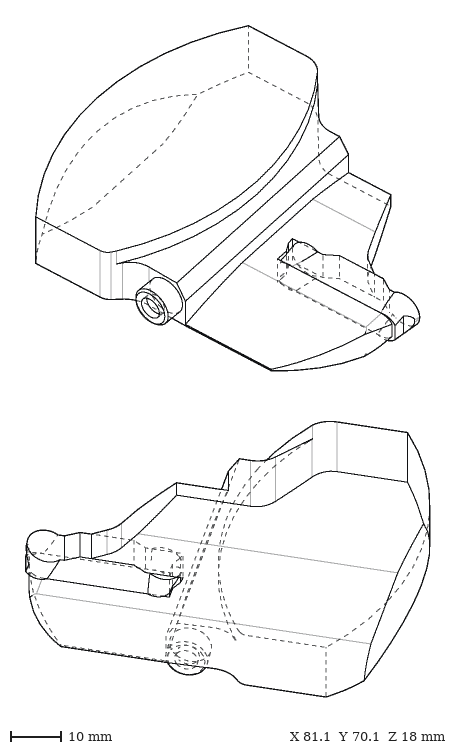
import cadquery as cq
import math

overall_length = 81.1
overall_height = 18.0
tip_diameter = 8.1
tip_radius = tip_diameter / 2
insert_axis_z = -0.2
top_z = overall_height - tip_radius + insert_axis_z
tall = 48.7

blade_half_thickness = 3.2
lens_flat_half_width = 11.6
lens_radius = 134.6
lens_center_z = math.sqrt(lens_radius**2 - lens_flat_half_width**2) - blade_half_thickness

shank_half_width = 35.0
shank_arc_radius = 60.0
oval_width = 40.15
step_z = 10.2
shoulder_end_x = 45.3
shoulder_back_y = 23.4
shoulder_front_y = -29.8
blade_front_y = -30.3
shoulder_chamfer_length = 2.3
shoulder_chamfer_depth = 3.65
neck_radius = 11.8 / 2
front_corner_radius = 2.4
neck_start_back_x = 28.6
neck_start_front_x = 28.7
back_neck_slope = 1.25
front_neck_slope = 1.3
bottom_bevel = 7.7

blade_back_corner_x = 55.95
blade_back_slope_end = (63.25, 6.5)
blade_hollow_middle = (64.2, 4.95)
blade_hollow_end = (65.5, 3.8)
hollow_foot_offset = 3.25
blade_nose_x = 79.1
blade_nose_middle = (74.4, -20.3)
blade_front_corner_x = 66.9
nose_round_start_x = 76.4

insert_length = 32.0
insert_center_x = overall_length - insert_length / 2
insert_crown_y = 1.8
insert_seat_y = -6.5
insert_crown_half_length = 5.5
insert_crown_foot = 8.35
insert_lip_y = -1.5
insert_lip_setback = 0.2
insert_relief_y = -3.65
insert_base_half_length = 14.8
tip_base_radius = 3.4

screw_x = 40.1
screw_z = 5.1
screw_diameter = 8.5
screw_tilt = 3.0
screw_end_y = -34.95
screw_embed_y = -27.6
screw_edge_chamfer = 0.5
socket_diameter = 4.7
socket_depth = 1.6
socket_cone_depth = 1.4


def lens_prism(z_top):
    """Bar along X with a flat-bottomed, curved underside and a flat top at z_top."""
    edge_z = math.sqrt(lens_radius**2 - shank_half_width**2) - lens_center_z
    curve_y = (shank_half_width + lens_flat_half_width) / 2
    curve_z = math.sqrt(lens_radius**2 - curve_y**2) - lens_center_z
    return (
        cq.Workplane("YZ")
        .moveTo(-shank_half_width, z_top)
        .lineTo(-shank_half_width, -edge_z)
        .threePointArc((-curve_y, -curve_z), (-lens_flat_half_width, -blade_half_thickness))
        .lineTo(lens_flat_half_width, -blade_half_thickness)
        .threePointArc((curve_y, -curve_z), (shank_half_width, -edge_z))
        .lineTo(shank_half_width, z_top)
        .close()
        .extrude(overall_length)
    )


def vertical_prism(outline):
    """Extrude a closed XY outline symmetrically about Z = 0."""
    return outline.extrude(tall / 2, both=True)


def make_shank():
    arc_depth = shank_arc_radius - math.sqrt(shank_arc_radius**2 - shank_half_width**2)
    neck_back_x = neck_start_back_x + (shank_half_width - shoulder_back_y) / back_neck_slope
    neck_front_x = neck_start_front_x + (shank_half_width + shoulder_front_y) / front_neck_slope
    plan = vertical_prism(
        cq.Workplane("XY")
        .moveTo(arc_depth, shank_half_width)
        .lineTo(neck_start_back_x, shank_half_width)
        .lineTo(neck_back_x, shoulder_back_y)
        .lineTo(shoulder_end_x, shoulder_back_y)
        .lineTo(shoulder_end_x, blade_front_y)
        .lineTo(neck_front_x, shoulder_front_y)
        .lineTo(neck_start_front_x, -shank_half_width)
        .lineTo(arc_depth, -shank_half_width)
        .threePointArc((0, 0), (arc_depth, shank_half_width))
        .close()
    )
    rounded_corners = [
        (neck_start_back_x, shank_half_width, neck_radius),
        (neck_back_x, shoulder_back_y, neck_radius),
        (neck_front_x, shoulder_front_y, neck_radius),
        (neck_start_front_x, -shank_half_width, front_corner_radius),
    ]
    for x, y, radius in rounded_corners:
        plan = plan.edges(cq.selectors.NearestToPointSelector((x, y, 0))).fillet(radius)
    shank = plan.intersect(lens_prism(top_z))

    oval = cq.Workplane("XY").center(oval_width - shank_arc_radius, 0).circle(shank_arc_radius)
    above_step = (
        cq.Workplane("XY").workplane(offset=step_z).rect(2 * tall, 2 * tall).extrude(tall)
        .translate((tall, 0, 0))
    )
    shank = shank.cut(above_step.cut(vertical_prism(oval)))

    shoulder_slope = (
        cq.Workplane("XZ")
        .moveTo(shoulder_end_x - shoulder_chamfer_length, step_z)
        .lineTo(shoulder_end_x, step_z)
        .lineTo(shoulder_end_x, step_z - shoulder_chamfer_depth)
        .close()
        .extrude(tall, both=True)
    )
    rear_bevel = (
        cq.Workplane("XZ")
        .moveTo(0, -blade_half_thickness)
        .lineTo(bottom_bevel, -blade_half_thickness)
        .lineTo(0, bottom_bevel - blade_half_thickness)
        .close()
        .extrude(tall, both=True)
    )
    return shank.cut(shoulder_slope).cut(rear_bevel)


def make_blade():
    hollow_foot_x = insert_center_x + hollow_foot_offset
    blade = vertical_prism(
        cq.Workplane("XY")
        .moveTo(oval_width, shoulder_back_y)
        .lineTo(blade_back_corner_x, shoulder_back_y)
        .lineTo(*blade_back_slope_end)
        .threePointArc(blade_hollow_middle, blade_hollow_end)
        .lineTo(hollow_foot_x, insert_crown_y)
        .lineTo(hollow_foot_x, insert_seat_y)
        .lineTo(blade_nose_x, insert_seat_y)
        .threePointArc(blade_nose_middle, (blade_front_corner_x, blade_front_y))
        .lineTo(shoulder_end_x, blade_front_y)
        .lineTo(oval_width, shoulder_front_y)
        .close()
    )
    lower_limit = lens_prism(blade_half_thickness)
    upper_limit = lower_limit.mirror("XY")
    blade = blade.intersect(lower_limit).intersect(upper_limit)

    round_nose_profile = (
        cq.Workplane("XZ")
        .moveTo(oval_width, blade_half_thickness)
        .lineTo(nose_round_start_x, blade_half_thickness)
        .threePointArc(
            (nose_round_start_x + blade_half_thickness, 0),
            (nose_round_start_x, -blade_half_thickness),
        )
        .lineTo(oval_width, -blade_half_thickness)
        .close()
        .extrude(tall, both=True)
    )
    return blade.intersect(round_nose_profile)


def make_screw():
    """Screw head with a cone-bottomed socket, leaning slightly toward -X."""
    length = screw_embed_y - screw_end_y
    socket_radius = socket_diameter / 2
    head_radius = screw_diameter / 2
    screw = (
        cq.Workplane("XY")
        .moveTo(0, length)
        .lineTo(head_radius, length)
        .lineTo(head_radius, screw_edge_chamfer)
        .lineTo(head_radius - screw_edge_chamfer, 0)
        .lineTo(socket_radius, 0)
        .lineTo(socket_radius, socket_depth)
        .lineTo(0, socket_depth + socket_cone_depth)
        .close()
        .revolve(360, (0, 0, 0), (0, 1, 0))
    )
    return screw.rotate((0, 0, 0), (0, 0, 1), -screw_tilt).translate((screw_x, screw_end_y, screw_z))


def insert_envelope():
    """Plan shape of the double-ended insert, also used as its pocket."""
    half = insert_length / 2
    right_side = [
        (insert_crown_half_length, insert_crown_y),
        (insert_crown_foot, 0),
        (half, 0),
        (half - insert_lip_setback, insert_lip_y),
        (insert_base_half_length, insert_relief_y),
        (insert_base_half_length, insert_seat_y),
    ]
    left_side = [(-x, y) for x, y in reversed(right_side)]
    outline = cq.Workplane("XY").polyline(right_side + left_side).close()
    return vertical_prism(outline).translate((insert_center_x, 0, 0))


def make_insert():
    tip_offset = insert_length / 2 - tip_radius
    body = cq.Workplane("XY").box(2 * tip_offset, tall, 2 * blade_half_thickness)
    for side in (-1, 1):
        tip = (
            cq.Workplane("XZ")
            .center(side * tip_offset, insert_axis_z)
            .circle(tip_radius)
            .workplane(offset=-insert_seat_y)
            .circle(tip_base_radius)
            .loft()
        )
        body = body.union(tip)
    return body.translate((insert_center_x, 0, 0)).intersect(insert_envelope())


holder = make_shank().union(make_blade()).union(make_screw()).cut(insert_envelope())
insert = make_insert()

result = cq.Compound.makeCompound([holder.val(), insert.val()])